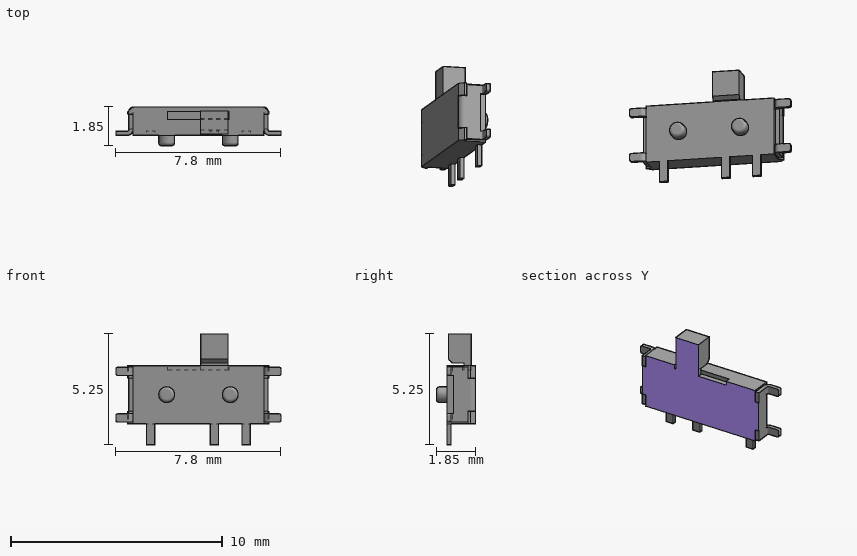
import cadquery as cq

housing_width = 6.185
housing_depth = 1.35
housing_height = 2.75
housing_side = housing_width / 2
housing_middle_z = housing_height / 2

tab_overhang = 0.25
tab_length = 0.34
tab_height = 0.585
tab_chamfer = 0.24

slot_width = 2.9
slot_front_y = 0.74
slot_back_y = 1.14
slot_depth = 0.2
slot_floor_z = housing_height - slot_depth
knob_center_x = 0.75
knob_width = 1.295
knob_front_y = 0.07
knob_back_y = 1.155
knob_rise = 1.5
knob_gap = 0.12
knob_chamfer = 0.18
stem_front_y = 0.8

peg_spacing = 3.0
peg_diameter = 0.75
peg_length = 0.5
peg_fillet = 0.15

sheet_thickness = 0.2
plate_outer_x = housing_side + sheet_thickness
bracket_margin_z = 0.08
bracket_edge_y = 0.31
bracket_clearance = 0.02
bracket_corner_radius = 0.24
foot_tip_x = 3.9
foot_height = 0.4
foot_bend_inner_radius = 0.055
foot_tip_fillet = 0.09

pin_centers_x = (-2.255, 0.75, 2.255)
pin_width = 0.4
pin_length = 1.0


def block(x_range, y_range, z_range):
    """Box spanning the given (low, high) ranges."""
    spans = (x_range, y_range, z_range)
    size = [high - low for low, high in spans]
    corner = [low for low, high in spans]
    return cq.Workplane("XY").box(*size, centered=False).translate(tuple(corner))


def make_housing():
    body = block((-housing_side, housing_side), (0, housing_depth), (0, housing_height))
    slot = block(
        (-slot_width / 2, slot_width / 2),
        (slot_front_y, slot_back_y),
        (slot_floor_z, housing_height),
    )
    return body.cut(slot)


def make_tab_row(bottom_z):
    """Strip along the back whose chamfered ends are one left and one right tab."""
    tab_side = housing_side + tab_overhang
    row = block(
        (-tab_side, tab_side),
        (housing_depth - tab_length, housing_depth),
        (bottom_z, bottom_z + tab_height),
    )
    row = row.edges("|Z and >Y").chamfer(tab_chamfer)
    core = block((-housing_side, housing_side), (0, housing_depth), (0, housing_height))
    return row.cut(core)


def make_knob():
    """Side profile in the YZ plane, extruded across the knob width."""
    underside = housing_height + knob_gap
    top = housing_height + knob_rise
    return (
        cq.Workplane("YZ")
        .moveTo(knob_back_y, slot_floor_z)
        .lineTo(knob_back_y, top)
        .lineTo(knob_front_y, top)
        .lineTo(knob_front_y, underside + knob_chamfer)
        .lineTo(knob_front_y + knob_chamfer, underside)
        .lineTo(stem_front_y, underside)
        .lineTo(stem_front_y, slot_floor_z)
        .close()
        .extrude(knob_width / 2, both=True)
        .translate((knob_center_x, 0, 0))
    )


def make_peg(center_x):
    return (
        cq.Workplane("XZ")
        .center(center_x, housing_middle_z)
        .circle(peg_diameter / 2)
        .extrude(peg_length)
        .faces("<Y")
        .edges()
        .fillet(peg_fillet)
    )


def make_pin(center_x):
    return block(
        (center_x - pin_width / 2, center_x + pin_width / 2),
        (0, sheet_thickness),
        (-pin_length, 0),
    )


def make_foot(bottom_z):
    """L-shaped strip that bends from the right-hand bracket plate out to the foot tip."""
    inner_radius = foot_bend_inner_radius
    outer_radius = inner_radius + sheet_thickness
    bend_x = plate_outer_x + inner_radius
    bend_y = sheet_thickness + inner_radius
    return (
        cq.Workplane("XY")
        .workplane(offset=bottom_z)
        .moveTo(housing_side, bracket_edge_y)
        .lineTo(housing_side, bend_y)
        .radiusArc((bend_x, 0), -outer_radius)
        .lineTo(foot_tip_x, 0)
        .lineTo(foot_tip_x, sheet_thickness)
        .lineTo(bend_x, sheet_thickness)
        .radiusArc((plate_outer_x, bend_y), inner_radius)
        .lineTo(plate_outer_x, bracket_edge_y)
        .close()
        .extrude(foot_height)
        .edges("|Y and >X")
        .fillet(foot_tip_fillet)
    )


def make_bracket():
    """Right-hand bracket: plate on the housing end, rounded rear lug and two feet."""
    plate_back_y = housing_depth - tab_length - bracket_clearance
    plate_bottom_z = bracket_margin_z
    plate_top_z = housing_height - bracket_margin_z
    plate = block(
        (housing_side, plate_outer_x),
        (bracket_edge_y, plate_back_y),
        (plate_bottom_z, plate_top_z),
    )
    lug_bottom_z = tab_height + bracket_clearance
    lug = block(
        (0, plate_outer_x),
        (plate_back_y, housing_depth),
        (lug_bottom_z, housing_height - lug_bottom_z),
    )
    lug = lug.edges("|Z and >X and >Y").fillet(bracket_corner_radius)
    bracket = plate.union(lug)
    for foot_bottom_z in (plate_bottom_z, plate_top_z - foot_height):
        bracket = bracket.union(make_foot(foot_bottom_z))
    return bracket


result = make_housing()
result = result.union(make_knob())
bracket = make_bracket()
result = result.union(bracket).union(bracket.mirror("YZ"))
for row_bottom_z in (0, housing_height - tab_height):
    result = result.union(make_tab_row(row_bottom_z))
for peg_x in (-peg_spacing / 2, peg_spacing / 2):
    result = result.union(make_peg(peg_x))
for pin_x in pin_centers_x:
    result = result.union(make_pin(pin_x))